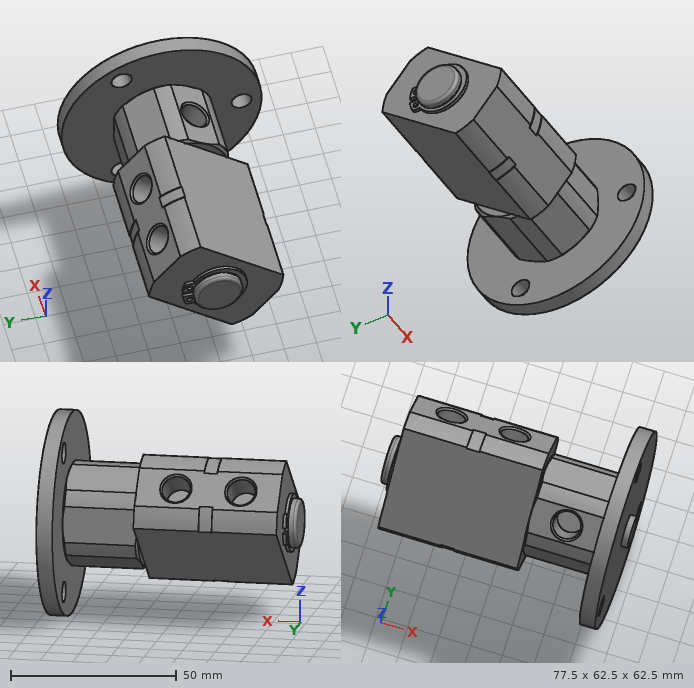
import cadquery as cq
import math

TOTAL_LENGTH = 77.5
CIRCLIP_START = 2.5
CIRCLIP_THICKNESS = 1.0
BLOCK_LENGTH = 44.0
FLANGE_END = 75.5
FLANGE_THICKNESS = 4.95
BLOCK_START = CIRCLIP_START + CIRCLIP_THICKNESS
HEX_START = BLOCK_START + BLOCK_LENGTH
FLANGE_START = FLANGE_END - FLANGE_THICKNESS
HEX_LENGTH = FLANGE_START - HEX_START

JOURNAL_DIAMETER = 15.0
STUB_DIAMETER = 10.0
SHAFT_END_FILLET = 1.0
CIRCLIP_SEAT_DIAMETER = 14.3

CIRCLIP_RING_DIAMETER = 17.8
CIRCLIP_RING_OFFSET = 0.5
LUG_OUTER_RADIUS = 10.7
LUG_HALF_SPAN = 4.65
LUG_CORNER_RADIUS = 0.8
LUG_GAP = 1.8
LUG_HOLE_DIAMETER = 1.7
LUG_HOLE_Y = 8.5
LUG_HOLE_Z = 2.7

BLOCK_WIDTH = 40.0
BLOCK_THICKNESS = 25.0
BLOCK_CORNER_DIAMETER = 42.0
BLOCK_TILT = 40.0
BLOCK_PORT_SPACING = 20.0
RELIEF_WIDTH = 4.0
RELIEF_DIAMETER = 41.55

HEX_FLATS = 30.0
HEX_CORNER_DIAMETER = 32.0
HEX_END_DIAMETER = 29.75
HEX_CHAMFER_ANGLE = 30.0
HEX_PORT_TILT = 120.0

PORT_DIAMETER = 8.6
PORT_RIM_DIAMETER = 9.8
PORT_DEPTH = 9.7

FLANGE_DIAMETER = 62.5
FLANGE_HOLE_DIAMETER = 6.3
FLANGE_HOLE_CIRCLE_RADIUS = 24.95
FLANGE_HOLE_COUNT = 3


def section_at(x):
    """Sketch plane across the axis: local x is +Y, local y is +Z, and it extrudes along +X."""
    return cq.Workplane("YZ", origin=(x, 0, 0))


def axial_cylinder(x, diameter, length):
    return section_at(x).circle(diameter / 2).extrude(length)


def port_cutter(x, face_distance, tilt):
    """Blind flat-bottomed port with a 45 degree rim chamfer, sunk into a face at an angle about X from +Y."""
    rim_radius = PORT_RIM_DIAMETER / 2
    radius = PORT_DIAMETER / 2
    rim_depth = rim_radius - radius
    half_profile = [
        (0, face_distance),
        (rim_radius, face_distance),
        (radius, face_distance - rim_depth),
        (radius, face_distance - PORT_DEPTH),
        (0, face_distance - PORT_DEPTH),
    ]
    cutter = cq.Workplane("XY").polyline(half_profile).close().revolve(360, (0, 0, 0), (0, 1, 0))
    return cutter.translate((x, 0, 0)).rotate((0, 0, 0), (1, 0, 0), tilt)


def make_shaft():
    journal = axial_cylinder(0, JOURNAL_DIAMETER, HEX_START).faces("<X").edges().fillet(SHAFT_END_FILLET)
    stub = axial_cylinder(HEX_START, STUB_DIAMETER, TOTAL_LENGTH - HEX_START)
    seat_groove = (
        section_at(CIRCLIP_START)
        .circle(JOURNAL_DIAMETER / 2)
        .circle(CIRCLIP_SEAT_DIAMETER / 2)
        .extrude(CIRCLIP_THICKNESS)
    )
    return journal.union(stub).cut(seat_groove)


def make_circlip():
    ring = (
        section_at(CIRCLIP_START)
        .center(-CIRCLIP_RING_OFFSET, 0)
        .circle(CIRCLIP_RING_DIAMETER / 2)
        .extrude(CIRCLIP_THICKNESS)
    )
    lugs = (
        section_at(CIRCLIP_START)
        .center(LUG_OUTER_RADIUS / 2, 0)
        .rect(LUG_OUTER_RADIUS, 2 * LUG_HALF_SPAN)
        .extrude(CIRCLIP_THICKNESS)
        .intersect(axial_cylinder(CIRCLIP_START, 2 * LUG_OUTER_RADIUS, CIRCLIP_THICKNESS))
    )
    outer_corner_y = math.sqrt(LUG_OUTER_RADIUS**2 - LUG_HALF_SPAN**2)
    for side in (1, -1):
        corner = (CIRCLIP_START + CIRCLIP_THICKNESS / 2, outer_corner_y, side * LUG_HALF_SPAN)
        lugs = lugs.edges(cq.selectors.NearestToPointSelector(corner)).fillet(LUG_CORNER_RADIUS)
    gap = (
        section_at(CIRCLIP_START)
        .center(LUG_OUTER_RADIUS / 2, 0)
        .rect(LUG_OUTER_RADIUS, LUG_GAP)
        .extrude(CIRCLIP_THICKNESS)
    )
    plier_holes = (
        section_at(CIRCLIP_START)
        .pushPoints([(LUG_HOLE_Y, LUG_HOLE_Z), (LUG_HOLE_Y, -LUG_HOLE_Z)])
        .circle(LUG_HOLE_DIAMETER / 2)
        .extrude(CIRCLIP_THICKNESS)
    )
    seat = axial_cylinder(CIRCLIP_START, CIRCLIP_SEAT_DIAMETER, CIRCLIP_THICKNESS)
    return ring.union(lugs).cut(seat).cut(gap).cut(plier_holes)


def make_block():
    middle = BLOCK_START + BLOCK_LENGTH / 2
    block = (
        section_at(BLOCK_START)
        .rect(BLOCK_WIDTH, BLOCK_THICKNESS)
        .extrude(BLOCK_LENGTH)
        .rotate((0, 0, 0), (1, 0, 0), BLOCK_TILT)
        .intersect(axial_cylinder(BLOCK_START, BLOCK_CORNER_DIAMETER, BLOCK_LENGTH))
    )
    corner_relief = (
        section_at(middle - RELIEF_WIDTH / 2)
        .circle(BLOCK_CORNER_DIAMETER / 2)
        .circle(RELIEF_DIAMETER / 2)
        .extrude(RELIEF_WIDTH)
    )
    block = block.cut(corner_relief)
    for side in (-1, 1):
        port_x = middle + side * BLOCK_PORT_SPACING / 2
        block = block.cut(port_cutter(port_x, BLOCK_WIDTH / 2, BLOCK_TILT))
    return block.cut(axial_cylinder(BLOCK_START, JOURNAL_DIAMETER, BLOCK_LENGTH))


def make_hex_body():
    corner_radius = HEX_CORNER_DIAMETER / 2
    end_radius = HEX_END_DIAMETER / 2
    chamfer_length = (corner_radius - end_radius) * math.tan(math.radians(HEX_CHAMFER_ANGLE))
    turned_profile = [
        (HEX_START, 0),
        (HEX_START, end_radius),
        (HEX_START + chamfer_length, corner_radius),
        (FLANGE_START - chamfer_length, corner_radius),
        (FLANGE_START, end_radius),
        (FLANGE_START, 0),
    ]
    envelope = cq.Workplane("XY").polyline(turned_profile).close().revolve(360, (0, 0, 0), (1, 0, 0))
    hex_bar = section_at(HEX_START).polygon(6, HEX_FLATS, circumscribed=True).extrude(HEX_LENGTH)
    port = port_cutter(HEX_START + HEX_LENGTH / 2, HEX_FLATS / 2, HEX_PORT_TILT)
    bore = axial_cylinder(HEX_START, STUB_DIAMETER, HEX_LENGTH)
    return hex_bar.intersect(envelope).cut(port).cut(bore)


def make_flange():
    bolt_holes = (
        section_at(FLANGE_START)
        .polarArray(FLANGE_HOLE_CIRCLE_RADIUS, 180, 360, FLANGE_HOLE_COUNT)
        .circle(FLANGE_HOLE_DIAMETER / 2)
        .extrude(FLANGE_THICKNESS)
    )
    disc = axial_cylinder(FLANGE_START, FLANGE_DIAMETER, FLANGE_THICKNESS)
    bore = axial_cylinder(FLANGE_START, STUB_DIAMETER, FLANGE_THICKNESS)
    return disc.cut(bolt_holes).cut(bore)


shaft = make_shaft()
circlip = make_circlip()
block = make_block()
hex_body = make_hex_body()
flange = make_flange()

result = cq.Compound.makeCompound(
    [shaft.val(), circlip.val(), block.val(), hex_body.val(), flange.val()]
)